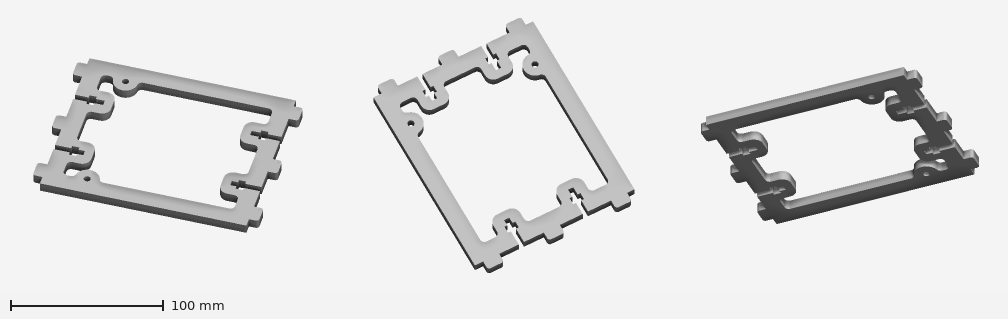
import cadquery as cq

overall_length = 153.6
overall_width = 118.5
thickness = 6.8
rail_width = 12.0

tab_length = 6.6
tab_width = 12.0
tab_radius = 2.0
upper_tab_y = 47.8
middle_tab_y = -2.2
lower_tab_y = -47.2
tab_positions = (upper_tab_y, middle_tab_y, lower_tab_y)

slot_width = 3.8
slot_depth = 20.3
nut_width = 4.9
nut_length = 8.0
upper_nut_setback = 9.4
lower_nut_setback = 11.0
upper_slot_y = 22.7
lower_slot_y = -24.7
slots = ((upper_slot_y, upper_nut_setback), (lower_slot_y, lower_nut_setback))

lug_wall = 6.0
lug_width = nut_length + 2 * lug_wall
lug_radius = 6.1

boss_radius = 8.3
hole_diameter = 4.6
boss_x = -41.6
upper_boss_y = 45.3
lower_boss_y = -46.7
boss_centers = ((boss_x, upper_boss_y), (boss_x, lower_boss_y))

window_radius = 3.0

body_length = overall_length - 2 * tab_length
body_end_x = body_length / 2
slot_end_x = body_end_x - slot_depth
lug_tip_x = slot_end_x - lug_wall
window_length = body_length - 2 * rail_width
window_width = overall_width - 2 * rail_width


def block(x_start, x_end, y_center, width):
    """Full-thickness block between two X positions, centered on a Y position."""
    return (
        cq.Workplane("XY")
        .center((x_start + x_end) / 2, y_center)
        .rect(abs(x_end - x_start), width)
        .extrude(thickness)
    )


def make_window():
    """Opening of the frame: a rectangle less the rounded lugs and bosses."""
    window = block(-window_length / 2, window_length / 2, 0, window_width)
    bosses = cq.Workplane("XY").pushPoints(boss_centers).circle(boss_radius).extrude(thickness)
    window = window.cut(bosses)
    for side in (-1, 1):
        tip_edges = "|Z and <X" if side > 0 else "|Z and >X"
        for slot_y, _ in slots:
            lug = block(side * lug_tip_x, side * body_end_x, slot_y, lug_width)
            window = window.cut(lug.edges(tip_edges).fillet(lug_radius))
    return window.edges("|Z").edges("<X or >X or <Y or >Y").fillet(window_radius)


def add_tabs(plate, side):
    """Three tabs with rounded outer corners on one end (side is -1 or 1)."""
    outer_edges = "|Z and >X" if side > 0 else "|Z and <X"
    for tab_y in tab_positions:
        tab = block(side * window_length / 2, side * overall_length / 2, tab_y, tab_width)
        plate = plate.union(tab.edges(outer_edges).fillet(tab_radius))
    return plate


def cut_slots(plate, side):
    """Two open screw slots with their nut pockets on one end (side is -1 or 1)."""
    for slot_y, nut_setback in slots:
        nut_outer_x = body_end_x - nut_setback
        nut_inner_x = nut_outer_x - nut_width
        screw = block(side * slot_end_x, side * body_end_x, slot_y, slot_width)
        nut = block(side * nut_inner_x, side * nut_outer_x, slot_y, nut_length)
        plate = plate.cut(screw).cut(nut)
    return plate


frame = block(-body_end_x, body_end_x, 0, overall_width).cut(make_window())
for end_side in (-1, 1):
    frame = add_tabs(frame, end_side)
    frame = cut_slots(frame, end_side)

mounting_holes = (
    cq.Workplane("XY").pushPoints(boss_centers).circle(hole_diameter / 2).extrude(thickness)
)
result = frame.cut(mounting_holes)